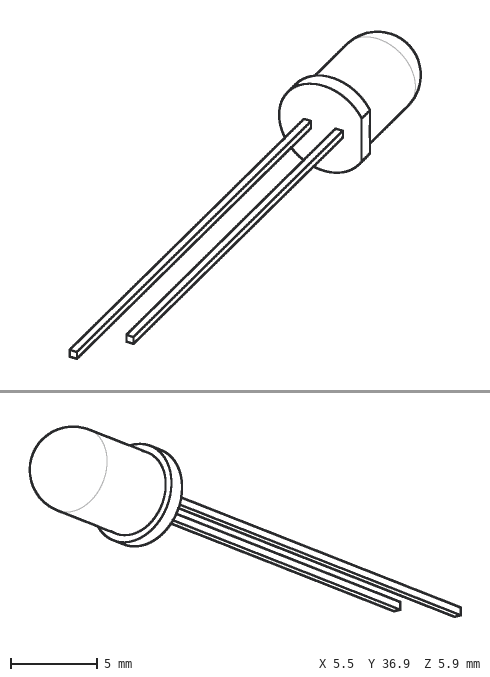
import cadquery as cq

OVERALL_LENGTH = 36.9

LENS_RADIUS = 5.05 / 2
FLANGE_RADIUS = 2.95
FLANGE_THICKNESS = 1.0
HOUSING_LENGTH = 8.95
FLAT_X = 2.55

LEAD_SIZE = 0.48
LEAD_SPACING = 2.1
LEAD_OFFSET = LEAD_SPACING / 2
LONG_LEAD_LENGTH = OVERALL_LENGTH - HOUSING_LENGTH
LEAD_LENGTH_DIFFERENCE = 3.0
SHORT_LEAD_LENGTH = LONG_LEAD_LENGTH - LEAD_LENGTH_DIFFERENCE


def make_housing():
    """Flange, cylinder and hemispherical dome, turned about Y, with one flat on the flange."""
    dome_start = HOUSING_LENGTH - LENS_RADIUS
    dome_rise = LENS_RADIUS * 0.5 ** 0.5
    housing = (
        cq.Workplane("XY")
        .moveTo(0, 0)
        .lineTo(FLANGE_RADIUS, 0)
        .lineTo(FLANGE_RADIUS, FLANGE_THICKNESS)
        .lineTo(LENS_RADIUS, FLANGE_THICKNESS)
        .lineTo(LENS_RADIUS, dome_start)
        .threePointArc((dome_rise, dome_start + dome_rise), (0, HOUSING_LENGTH))
        .close()
        .revolve(360, (0, 0, 0), (0, 1, 0))
    )
    flat_cutter = cq.Workplane("XY").box(
        FLANGE_RADIUS, FLANGE_THICKNESS, 2 * FLANGE_RADIUS, centered=(False, False, True)
    ).translate((FLAT_X, 0, 0))
    return housing.cut(flat_cutter)


def make_lead(x_center, length):
    """Straight square lead running from the flange base toward -Y."""
    return (
        cq.Workplane("XY")
        .box(LEAD_SIZE, length, LEAD_SIZE)
        .translate((x_center, -length / 2, 0))
    )


housing = make_housing()
leads = [
    make_lead(x_center, length)
    for x_center, length in ((-LEAD_OFFSET, LONG_LEAD_LENGTH), (LEAD_OFFSET, SHORT_LEAD_LENGTH))
]

result = cq.Compound.makeCompound([housing.val(), *[lead.val() for lead in leads]])